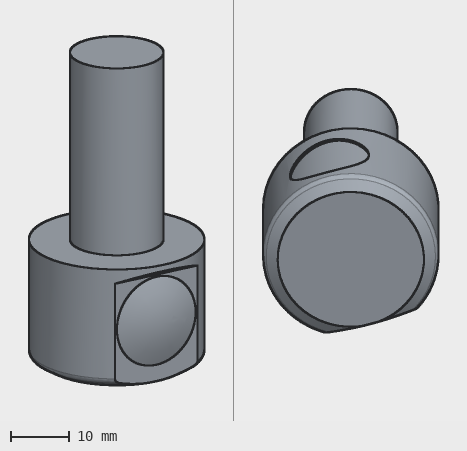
import cadquery as cq
import math

total_height = 56.0
head_height = 22.0
head_radius = 30.0 / 2
pin_radius = 16.0 / 2

foot_radius = 12.5
bevel_angle = 30.0
bevel_height = (head_radius - foot_radius) * math.tan(math.radians(bevel_angle))
rim_fillet = 1.1

flat_x = 12.45
lip_edge_thickness = 1.1
lip_slope = math.tan(math.radians(bevel_angle))
lip_root_z = head_height - lip_edge_thickness - (head_radius - flat_x) * lip_slope
cut_overrun = 1.1

feature_z = head_height / 2
pad_radius = 16.0 / 2
pad_rise = 1.55
pad_embed = 0.55
dome_radius = (pad_radius**2 + pad_rise**2) / (2 * pad_rise)
recess_radius = 14.0 / 2
recess_depth = 0.35


def make_head():
    """Round head with a bevelled and filleted lower rim."""
    profile = (
        cq.Workplane("XZ")
        .moveTo(0, 0)
        .lineTo(foot_radius, 0)
        .lineTo(head_radius, bevel_height)
        .lineTo(head_radius, head_height)
        .lineTo(0, head_height)
        .close()
    )
    head = profile.revolve(360, (0, 0, 0), (0, 1, 0))
    rim = cq.selectors.BoxSelector(
        (-head_radius, -head_radius, bevel_height / 2),
        (head_radius, head_radius, head_height / 2),
    )
    return head.edges("%CIRCLE").edges(rim).fillet(rim_fillet)


def make_side_cut():
    """Material removed to leave the flat and the sloped lip above it."""
    outer_x = head_radius + cut_overrun
    return (
        cq.Workplane("XZ")
        .moveTo(flat_x, -cut_overrun)
        .lineTo(outer_x, -cut_overrun)
        .lineTo(outer_x, lip_root_z + (outer_x - flat_x) * lip_slope)
        .lineTo(flat_x, lip_root_z)
        .close()
        .extrude(head_radius, both=True)
    )


def make_domed_pad():
    """Spherical cap standing on the flat."""
    pad_top = flat_x + pad_rise
    profile = (
        cq.Workplane("XY", origin=(0, 0, feature_z))
        .moveTo(flat_x - pad_embed, 0)
        .lineTo(pad_top, 0)
        .radiusArc((flat_x, pad_radius), -dome_radius)
        .lineTo(flat_x - pad_embed, pad_radius)
        .close()
    )
    return profile.revolve(360, (0, 0, 0), (1, 0, 0))


def make_recess():
    """Shallow round recess whose floor follows the side wall of the head."""
    floor = cq.Workplane("XY").circle(head_radius - recess_depth).extrude(head_height)
    bore = cq.Workplane("YZ", origin=(0, 0, feature_z)).circle(recess_radius).extrude(-head_radius)
    return bore.cut(floor)


pin = cq.Workplane("XY", origin=(0, 0, head_height)).circle(pin_radius).extrude(total_height - head_height)

result = make_head().cut(make_side_cut()).cut(make_recess()).union(make_domed_pad()).union(pin)